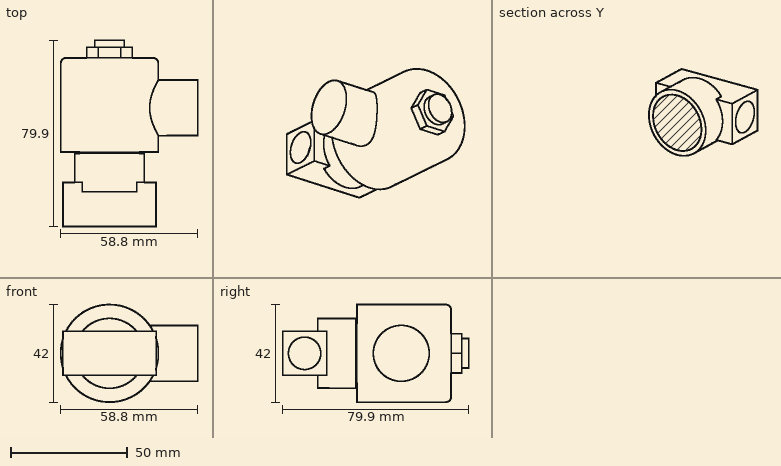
import cadquery as cq
import math


block_length = 40.05
block_side = 18.95
port_diameter = 13.9
port_depth = 9.5
collar_diameter = 30.0
collar_start = 15.0
collar_end = 31.4
neck_diameter = 25.6

coil_diameter = 42.0
coil_start = 31.9
coil_end = 72.3
coil_edge_radius = 2.4
conduit_diameter = 24.0
conduit_reach = 58.8 - coil_diameter / 2
conduit_y = 50.9
nut_across_flats = 16.95
nut_end = 76.9
tip_diameter = 12.8
tip_end = 79.9


def axial_cylinder(diameter, start, end):
    """Cylinder on the main axis between two Y positions."""
    return cq.Workplane("XZ", origin=(0, start, 0)).circle(diameter / 2).extrude(start - end)


def make_port(side):
    """Blind port entering the block from its -X (side = -1) or +X (side = 1) end."""
    mouth = (side * block_length / 2, block_side / 2, 0)
    return cq.Workplane("YZ", origin=mouth).circle(port_diameter / 2).extrude(-side * port_depth)


def make_valve_body():
    """Square block with a port in each end, a collar and a short neck."""
    block = cq.Workplane("XY").box(block_length, block_side, block_side)
    body = block.translate((0, block_side / 2, 0))
    body = body.union(axial_cylinder(collar_diameter, collar_start, collar_end))
    body = body.union(axial_cylinder(neck_diameter, collar_end, coil_start))
    for side in (-1, 1):
        body = body.cut(make_port(side))
    return body


def make_coil_housing():
    """Round-edged coil with a side conduit, a hexagonal nut and a round tip."""
    housing = axial_cylinder(coil_diameter, coil_start, coil_end)
    housing = housing.faces(">Y").edges().fillet(coil_edge_radius)
    conduit = (
        cq.Workplane("YZ", origin=(0, conduit_y, 0))
        .circle(conduit_diameter / 2)
        .extrude(conduit_reach)
    )
    nut_across_corners = nut_across_flats / math.cos(math.radians(30))
    nut = (
        cq.Workplane("XZ", origin=(0, coil_end, 0))
        .polygon(6, nut_across_corners)
        .extrude(coil_end - nut_end)
    )
    tip = axial_cylinder(tip_diameter, nut_end, tip_end)
    return housing.union(conduit).union(nut).union(tip)


valve_body = make_valve_body()
coil_housing = make_coil_housing()

result = cq.Compound.makeCompound([valve_body.val(), coil_housing.val()])